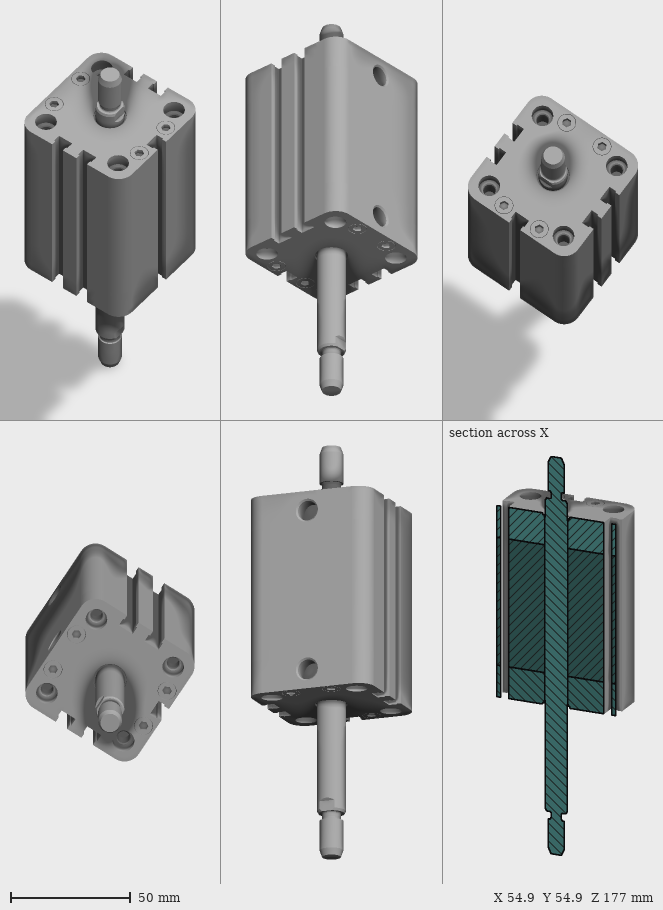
import cadquery as cq
import math


overall_length = 177.0

housing_width = 54.9
half_width = housing_width / 2
corner_radius = 7.0
housing_length = 85.3
cap_height = 14.3
barrel_length = housing_length - 2 * cap_height

slot_opening = 5.7
slot_inner_width = 6.9
slot_depth = 5.5
slot_lip = 2.1
slot_offset = 6.4

mount_spacing = 38.0
mount_bore_diameter = 9.0
mount_bore_depth = 5.5
mount_hole_diameter = 6.0
mount_core_diameter = 5.1
mount_chamfer = (mount_hole_diameter - mount_core_diameter) / 2

screw_spacing_x = 45.0
screw_spacing_y = 18.0
screw_recess_diameter = 7.8
screw_head_diameter = 7.5
screw_head_depth = 4.2
hex_across_flats = 3.5
hex_depth = 2.1

port_inset = 8.3
port_mouth_diameter = 10.0
port_diameter = 8.5
port_floor_diameter = 40.0
port_chamfer = (port_mouth_diameter - port_diameter) / 2

rod_diameter = 12.0
rod_top_projection = 25.7
rod_bottom_projection = overall_length - housing_length - rod_top_projection
thread_diameter = 10.0
thread_tip_diameter = 8.0
thread_length = 15.5
tip_length = 2.8
neck_diameter = 8.0
neck_shoulder_diameter = 8.5
neck_taper_length = 1.0
neck_chamfer_length = 0.4
neck_length = 3.2
shoulder_diameter = 11.0
shoulder_chamfer = 1.0
flat_spacing = 10.1
flat_length = 4.5

mouth_outer_diameter = 14.0
mouth_inner_diameter = 13.6
mouth_depth = 0.9
rod_clearance_diameter = 12.5
rod_clearance_depth = 1.8
mouth_chamfer = (mouth_outer_diameter - mouth_inner_diameter) / 2


def corner_points(spacing_x, spacing_y):
    return [(sx * spacing_x / 2, sy * spacing_y / 2) for sx in (-1, 1) for sy in (-1, 1)]


def cylinder(diameter, bottom, height, centre=(0, 0)):
    return cq.Workplane("XY", origin=(*centre, bottom)).circle(diameter / 2).extrude(height)


def t_slot(length):
    """T-slot cutter whose mouth lies on the +Y side of the housing, at X = 0."""
    opening = cq.Workplane("XY").box(slot_opening, slot_depth, length, centered=(True, False, False))
    pocket = cq.Workplane("XY").box(
        slot_inner_width, slot_depth - slot_lip, length, centered=(True, False, False)
    )
    return opening.union(pocket).translate((0, half_width - slot_depth, 0))


def housing_block(length):
    """Slotted housing section with a bore that fits the rod, standing on Z = 0."""
    block = cq.Workplane("XY").rect(housing_width, housing_width).extrude(length)
    block = block.edges("|Z").fillet(corner_radius)
    slot = t_slot(length)
    for side_angle in (0, 180):
        for offset in (-slot_offset, slot_offset):
            block = block.cut(slot.translate((offset, 0, 0)).rotate((0, 0, 0), (0, 0, 1), side_angle))
    block = block.cut(slot.rotate((0, 0, 0), (0, 0, 1), -90))
    return block.cut(cylinder(rod_diameter, 0, length))


def mounting_hole(centre):
    """Counterbored hole, with a small chamfer where the bore meets the narrower hole."""
    bore_floor = cap_height - mount_bore_depth
    bore = cylinder(mount_bore_diameter, bore_floor, mount_bore_depth, centre)
    core = cylinder(mount_core_diameter, 0, cap_height, centre)
    chamfer = (
        cq.Workplane("XY", origin=(*centre, bore_floor))
        .circle(mount_hole_diameter / 2)
        .workplane(offset=-mount_chamfer)
        .circle(mount_core_diameter / 2)
        .loft()
    )
    return bore.union(core).union(chamfer)


def screw_head_cut(centre):
    """Ring groove around a screw head and the hexagon socket in it."""
    ring = cylinder(screw_recess_diameter, cap_height - screw_head_depth, screw_head_depth, centre).cut(
        cylinder(screw_head_diameter, cap_height - screw_head_depth, screw_head_depth, centre)
    )
    hex_across_corners = hex_across_flats / math.cos(math.pi / 6)
    socket = (
        cq.Workplane("XY", origin=(*centre, cap_height - hex_depth))
        .transformed(rotate=(0, 0, 90))
        .polygon(6, hex_across_corners)
        .extrude(hex_depth)
    )
    return ring.union(socket)


def air_port():
    """Chamfered port cutter from the -X side, ending on a cylindrical floor around the rod axis."""
    port_profile = [
        (-half_width, 0),
        (-half_width, port_mouth_diameter / 2),
        (-half_width + port_chamfer, port_diameter / 2),
        (0, port_diameter / 2),
        (0, 0),
    ]
    port = cq.Workplane("XZ").polyline(port_profile).close().revolve(360, (0, 0, 0), (1, 0, 0))
    port = port.translate((0, 0, cap_height - port_inset))
    return port.cut(cylinder(port_floor_diameter, 0, cap_height))


def rod_mouth():
    """Chamfered, stepped clearance recess around the rod in the outer face of a cap."""
    recess = cylinder(mouth_inner_diameter, cap_height - mouth_depth, mouth_depth)
    chamfer = (
        cq.Workplane("XY", origin=(0, 0, cap_height))
        .circle(mouth_outer_diameter / 2)
        .workplane(offset=-mouth_chamfer)
        .circle(mouth_inner_diameter / 2)
        .loft()
    )
    clearance = cylinder(rod_clearance_diameter, cap_height - rod_clearance_depth, rod_clearance_depth)
    return recess.union(chamfer).union(clearance)


def make_cap():
    """End cap whose outer face lies at Z = cap_height."""
    cap = housing_block(cap_height)
    for centre in corner_points(mount_spacing, mount_spacing):
        cap = cap.cut(mounting_hole(centre))
    for centre in corner_points(screw_spacing_x, screw_spacing_y):
        cap = cap.cut(screw_head_cut(centre))
    cap = cap.cut(air_port())
    return cap.cut(rod_mouth())


def rod_end_points(face, direction, projection):
    """Half-profile of one rod end, from its shoulder chamfer out to the tip on the axis."""
    tip = projection
    thread_start = tip - thread_length
    shoulder = thread_start - neck_length
    steps = [
        (rod_diameter / 2, shoulder - shoulder_chamfer),
        (shoulder_diameter / 2, shoulder),
        (neck_shoulder_diameter / 2, shoulder),
        (neck_diameter / 2, shoulder + neck_chamfer_length),
        (neck_diameter / 2, thread_start - neck_taper_length),
        (neck_shoulder_diameter / 2, thread_start),
        (thread_diameter / 2, thread_start),
        (thread_diameter / 2, tip - tip_length),
        (thread_tip_diameter / 2, tip),
        (0, tip),
    ]
    return [(radius, face + direction * distance) for radius, distance in steps]


def wrench_flats(face, direction, projection):
    """Cutters for the two flats, whose inner ends slope at 45 degrees."""
    shoulder = projection - thread_length - neck_length
    flat = flat_spacing / 2
    cut_depth = rod_diameter / 2 - flat
    flat_end = shoulder - flat_length
    profile = [
        (flat, face + direction * shoulder),
        (flat, face + direction * flat_end),
        (flat + cut_depth, face + direction * (flat_end - cut_depth)),
        (flat + cut_depth, face + direction * shoulder),
    ]
    cutter = cq.Workplane("XZ").polyline(profile).close().extrude(rod_diameter / 2, both=True)
    return cutter.union(cutter.mirror("YZ"))


def make_rod():
    top_end = (housing_length, 1, rod_top_projection)
    bottom_end = (0, -1, rod_bottom_projection)
    profile = list(reversed(rod_end_points(*bottom_end))) + rod_end_points(*top_end)
    rod = cq.Workplane("XZ").polyline(profile).close().revolve(360, (0, 0, 0), (0, 1, 0))
    for end in (top_end, bottom_end):
        rod = rod.cut(wrench_flats(*end))
    return rod


cap = make_cap()
top_cap = cap.translate((0, 0, housing_length - cap_height))
bottom_cap = cap.mirror("XY").translate((0, 0, cap_height))
barrel = housing_block(barrel_length).translate((0, 0, cap_height))
piston_rod = make_rod()

result = cq.Compound.makeCompound([top_cap.val(), bottom_cap.val(), barrel.val(), piston_rod.val()])